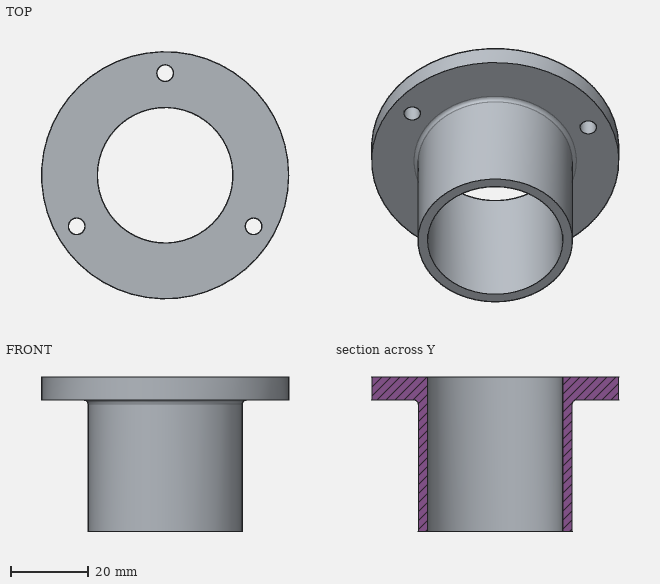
import cadquery as cq

flange_diameter = 64.0
flange_thickness = 6.0
overall_height = 40.0
sleeve_diameter = 40.0
bore_diameter = 35.0
neck_fillet_radius = 1.0

bolt_hole_count = 3
bolt_hole_diameter = 4.2
bolt_circle_radius = 26.4
first_bolt_angle = 90.0

sleeve_length = overall_height - flange_thickness


def make_body():
    """Sleeve standing on Z = 0 with the flange on its upper end."""
    sleeve = cq.Workplane("XY").circle(sleeve_diameter / 2).extrude(sleeve_length)
    flange = (
        cq.Workplane("XY")
        .workplane(offset=sleeve_length)
        .circle(flange_diameter / 2)
        .extrude(flange_thickness)
    )
    body = sleeve.union(flange)
    neck_edge = cq.selectors.RadiusNthSelector(0)
    return body.faces("<Z[1]").edges(neck_edge).fillet(neck_fillet_radius)


def cut_bore(body):
    """Open the central bore through the full height."""
    return body.faces(">Z").workplane(origin=(0, 0, 0)).hole(bore_diameter)


def cut_bolt_holes(body):
    """Drill the evenly spaced bolt holes through the flange."""
    return (
        body.faces(">Z")
        .workplane(origin=(0, 0, 0))
        .polarArray(bolt_circle_radius, first_bolt_angle, 360, bolt_hole_count)
        .hole(bolt_hole_diameter, flange_thickness)
    )


result = cut_bolt_holes(cut_bore(make_body()))